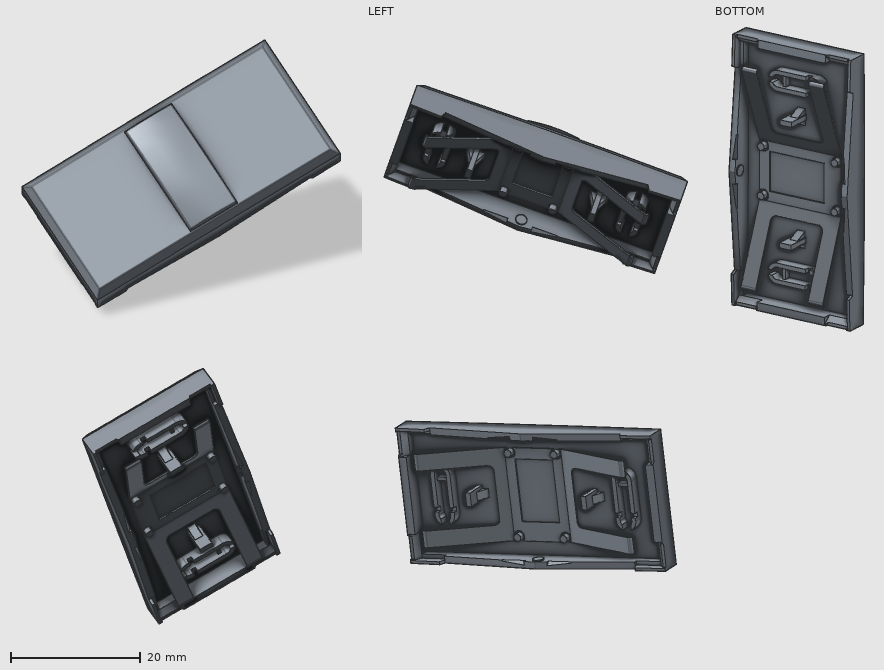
import cadquery as cq
import math


cover_width = 21.9
cover_length = 44.55
bevel = 1.1
front_crown = 0.25
edge_radius = 0.25
floor_z = -0.95
side_wall = 1.15
end_wall = 1.35
apex_z = -4.7
step_z = -3.05
end_block_z = -4.0
corner_z = -3.75
step_y = 16.65
end_block_y = 17.1
inner_half_width = cover_width / 2 - side_wall
inner_half_length = cover_length / 2 - end_wall

rim_bevel_z = -2.4
rim_thickness = 0.45
notch_z = -3.4
notch_inner_x = 6.7
notch_foot_x = 6.25
notch_outer_x = 10.35

lead_in_start = 2.0
lead_in_end = 6.0
lead_in_z = -3.95
lead_in_rim = 0.35
pivot_z = -3.45
pivot_radius = 0.9
pivot_height = 0.2

post_x = 6.8
post_y = 4.05
post_radius = 0.6
post_z = -2.0
post_hole_radius = 0.9

peg_y = 10.1
peg_x = -1.2
peg_width = 0.85
peg_depth = 2.15
peg_z = -5.15
gusset_x = -0.7
gusset_reach = 1.4
gusset_depth = 1.4
gusset_z = -3.05

socket_y = 15.85
socket_length = 9.88
socket_width = 3.45
socket_wall = 0.7
near_slot = 0.9
far_slot = 1.5
socket_z = -2.8
web_x = -2.7
web_thickness = 0.55
web_z = -2.05
cross_slot_x = 2.0
cross_slot_width = 0.75
cross_slot_depth = 0.85

lens_width = 19.0
lens_length = 8.45
lens_gap = 0.1
lens_pocket_z = 0.38
lens_edge_height = 0.4
lens_rise_across = 0.75
lens_rise_along = 0.38
lens_edge_radius = 0.25

sheet = 0.3
spring_width = 15.15
bend_y = 4.95
leg_width = 2.75
leg_window_y = 6.75
leg_window_radius = 0.95
tip_y = 18.15
tip_z = -6.5
curl_radius = 0.55
window_half_length = 3.3
window_near_x = -5.75
window_far_x = 4.4

spin_about_z = 0.2
tilt_about_y = 33.3
tilt_about_x = 19.5

front_end_z = bevel
front_mid_z = front_end_z + front_crown


def box(x0, x1, y0, y1, z0, z1):
    return cq.Workplane("XY").box(x1 - x0, y1 - y0, z1 - z0, centered=False).translate((x0, y0, z0))


def lens_pocket():
    half_x = lens_width / 2 + lens_gap
    half_y = lens_length / 2 + lens_gap
    return box(-half_x, half_x, -half_y, half_y, lens_pocket_z, front_mid_z)


def cover_shell():
    half_l = cover_length / 2
    half_w = cover_width / 2
    outline = [
        (-half_l, front_end_z), (-half_l, corner_z), (-end_block_y, end_block_z), (-step_y, step_z), (0, apex_z),
        (step_y, step_z), (end_block_y, end_block_z), (half_l, corner_z), (half_l, front_end_z),
    ]
    body = (
        cq.Workplane("YZ", origin=(-half_w, 0, 0)).polyline(outline)
        .threePointArc((0, front_mid_z), (-half_l, front_end_z)).close().extrude(cover_width)
    )
    shell = body.faces(">Z").chamfer(bevel)
    bevel_zone = cq.selectors.BoxSelector(
        (-half_w, -half_l, -edge_radius), (half_w, half_l, 2 * front_mid_z), boundingbox=True
    )
    shell = shell.edges(bevel_zone).fillet(edge_radius)
    cavity = box(-inner_half_width, inner_half_width, -inner_half_length, inner_half_length, apex_z, floor_z)
    return shell.cut(cavity)


def end_bevel():
    """Cutter that steps the side walls and tapers the end wall of the +Y end block."""
    outer_x = cover_width / 2 - rim_thickness
    outer_y = cover_length / 2
    outline = [
        (step_y, rim_bevel_z), (inner_half_length, rim_bevel_z),
        (outer_y, end_block_z), (step_y, end_block_z),
    ]
    cutter = cq.Workplane("YZ", origin=(-outer_x, 0, 0)).polyline(outline).close().extrude(2 * outer_x)
    lug = box(-notch_foot_x, notch_foot_x, inner_half_length, outer_y, end_block_z, rim_bevel_z)
    return cutter.cut(lug)


def end_notch(side):
    """Notch in the rim of the +Y end wall, towards the given X side."""
    outline = [
        (side * notch_foot_x, end_block_z), (side * notch_inner_x, notch_z),
        (side * notch_outer_x, notch_z), (side * notch_outer_x, end_block_z),
    ]
    return cq.Workplane("XZ", origin=(0, cover_length / 2, 0)).polyline(outline).close().extrude(end_wall)


def lead_in():
    """Bevel inside the rim of the +X side wall, on the +Y side."""
    rim_x = cover_width / 2 - lead_in_rim
    outline = [(inner_half_width, lead_in_z), (rim_x, apex_z), (inner_half_width, apex_z)]
    return (
        cq.Workplane("XZ", origin=(0, lead_in_start, 0)).polyline(outline).close()
        .extrude(lead_in_start - lead_in_end)
    )


def pivot_pin():
    return (
        cq.Workplane("YZ", origin=(inner_half_width - pivot_height, 0, pivot_z))
        .circle(pivot_radius).extrude(pivot_height)
    )


def spring_post(radius):
    return cq.Workplane("XY", origin=(post_x, post_y, post_z)).circle(radius).extrude(floor_z - post_z)


def peg():
    half = peg_width / 2
    body = box(peg_x, peg_x + peg_depth, -half, half, peg_z, floor_z)
    gussets = (
        cq.Workplane("YZ", origin=(gusset_x, 0, 0))
        .polyline([
            (-gusset_reach, floor_z), (-half, gusset_z), (half, gusset_z), (gusset_reach, floor_z)
        ]).close()
        .extrude(gusset_depth)
    )
    return body.union(gussets)


def socket():
    height = floor_z - socket_z
    base = cq.Workplane("XY", origin=(0, 0, socket_z))
    outer = base.slot2D(socket_length, socket_width).extrude(height)
    bore = base.slot2D(socket_length - 2 * socket_wall, socket_width - 2 * socket_wall).extrude(height)
    half_l = socket_length / 2
    half_w = socket_width / 2
    slots = box(-half_l, 0, -near_slot / 2, near_slot / 2, socket_z, floor_z)
    slots = slots.union(box(0, half_l, -far_slot / 2, far_slot / 2, socket_z, floor_z))
    slots = slots.union(box(
        cross_slot_x, cross_slot_x + cross_slot_width, -half_w, half_w, socket_z, socket_z + cross_slot_depth
    ))
    bore_half_w = half_w - socket_wall
    web = box(web_x, web_x + web_thickness, -bore_half_w, bore_half_w, web_z, floor_z)
    return outer.cut(bore).cut(slots).union(web)


def make_cover():
    cover = cover_shell().cut(lens_pocket())
    for bevel_cutter in (end_bevel(), end_bevel().mirror("XZ")):
        cover = cover.cut(bevel_cutter)
    for side in (-1, 1):
        cover = cover.cut(end_notch(side)).cut(end_notch(side).mirror("XZ"))
    for feature in (lead_in(), lead_in().mirror("XZ")):
        cover = cover.cut(feature).cut(feature.mirror("YZ"))
    cover = cover.union(pivot_pin()).union(pivot_pin().mirror("YZ"))
    for post in (spring_post(post_radius), spring_post(post_radius).mirror("XZ")):
        cover = cover.union(post).union(post.mirror("YZ"))
    for side in (-1, 1):
        cover = cover.union(peg().translate((0, side * peg_y, 0)))
        cover = cover.union(socket().translate((0, side * socket_y, 0)))
    return cover


def arc_radius(chord, rise):
    return (chord ** 2 / 4 + rise ** 2) / (2 * rise)


def make_lens():
    corner_z_top = front_mid_z + lens_edge_height
    crown_z = corner_z_top + lens_rise_across + lens_rise_along
    radius_across = arc_radius(lens_width, lens_rise_across)
    half_l = lens_length / 2
    block = box(-lens_width / 2, lens_width / 2, -half_l, half_l, lens_pocket_z, crown_z)
    side_z = crown_z - lens_rise_along
    axis_z = crown_z - lens_rise_along - radius_across
    dome = (
        cq.Workplane("YZ")
        .moveTo(-half_l, axis_z).lineTo(-half_l, side_z).threePointArc((0, crown_z), (half_l, side_z))
        .lineTo(half_l, axis_z).close()
        .revolve(360, (0, axis_z, 0), (1, axis_z, 0))
    )
    return block.intersect(dome).faces(">Z").edges().fillet(lens_edge_radius)


def leg_profile():
    """Side profile of one +Y leg: the slope down from the bend and the curled tip."""
    slope = math.atan2(floor_z - sheet - tip_z, tip_y - bend_y)
    along = (math.cos(slope), -math.sin(slope))
    up = (math.sin(slope), math.cos(slope))

    def point(distance, height):
        return (bend_y + distance * along[0] + height * up[0],
                floor_z - sheet + distance * along[1] + height * up[1])

    reach = math.hypot(floor_z - sheet - tip_z, tip_y - bend_y) - curl_radius
    inner = curl_radius - sheet
    sine = math.sqrt(0.5)
    return (
        cq.Workplane("YZ", origin=(-spring_width / 2, 0, 0))
        .moveTo(bend_y, floor_z)
        .lineTo(*point(0, 0)).lineTo(*point(reach, 0))
        .threePointArc(point(reach + curl_radius * sine, curl_radius * (1 - sine)),
                       point(reach + curl_radius, curl_radius))
        .lineTo(*point(reach + inner, curl_radius))
        .threePointArc(point(reach + inner * sine, curl_radius - inner * sine), point(reach, sheet))
        .lineTo(*point(0, sheet))
        .close()
    )


def leg_pair():
    half_x = spring_width / 2
    legs = leg_profile().extrude(spring_width)
    window = box(leg_width - half_x, half_x - leg_width, leg_window_y, 2 * tip_y, 2 * tip_z, 0)
    window = window.edges("|Z and <Y").fillet(leg_window_radius)
    return legs.cut(window)


def make_spring():
    half_x = spring_width / 2
    plate = box(-half_x, half_x, -bend_y, bend_y, floor_z - sheet, floor_z)
    plate = plate.cut(box(window_near_x, window_far_x, -window_half_length, window_half_length, tip_z, 0))
    for hole in (spring_post(post_hole_radius), spring_post(post_hole_radius).mirror("XZ")):
        plate = plate.cut(hole).cut(hole.mirror("YZ"))
    return plate.union(leg_pair()).union(leg_pair().mirror("XZ"))


def placed(body):
    origin = (0, 0, 0)
    turned = body.val().rotate(origin, (0, 0, 1), spin_about_z)
    turned = turned.rotate(origin, (0, 1, 0), tilt_about_y)
    return turned.rotate(origin, (1, 0, 0), tilt_about_x)


cover = placed(make_cover())
lens = placed(make_lens())
spring = placed(make_spring())

result = cq.Compound.makeCompound([cover, lens, spring])